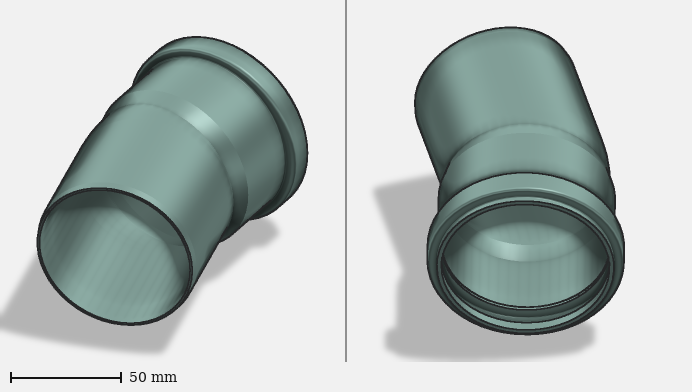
import cadquery as cq
import math

overall_length = 130.9

bend_angle = 15
pipe_diameter = 75.3
wall = 1.8
bend_radius = pipe_diameter / 2 + 0.1

spigot_length = 56.8
tip_length = 3.7
tip_diameter = 73.7

socket_diameter = 80.0
collar_length = 0.7
cone_end = 9.3
bead_start = 40.3
bead_end = 52.9

bead_diameter = 89.1
groove_diameter = 85.2
bead_middle = (bead_start + bead_end) / 2
bead_wall = (bead_diameter - groove_diameter) / 2
bead_fillet = 2.0
groove_fillet = 0.7
root_fillet = 0.8
lip_diameter = 80.2
mouth_diameter = 76.0
root_tolerance = 0.1

pipe_radius = pipe_diameter / 2
bore_radius = pipe_radius - wall
socket_radius = socket_diameter / 2
socket_bore_radius = socket_radius - wall
lip_radius = lip_diameter / 2
mouth_radius = mouth_diameter / 2

angle = math.radians(bend_angle)
bend_end_x = bend_radius * (1 - math.cos(angle))
bend_end_y = spigot_length + bend_radius * math.sin(angle)
socket_length = (overall_length - bend_end_y - lip_radius * math.sin(angle)) / math.cos(angle)


def revolved(profile):
    """Revolve (radius, axial position) points about the Y axis."""
    return cq.Workplane("XY").polyline(profile).close().revolve(360, (0, 0, 0), (0, 1, 0))


def ring(radius, start, end, fillet):
    """Solid disc about the Y axis with both rims rounded."""
    disc = revolved([(0, start), (radius, start), (radius, end), (0, end)])
    return disc.edges("%CIRCLE").fillet(fillet)


def bend(radius):
    """Solid elbow starting at the end of the spigot."""
    section = cq.Workplane("XZ", origin=(0, spigot_length, 0)).circle(radius)
    return section.revolve(bend_angle, (bend_radius, 0, 0), (bend_radius, -1, 0))


def on_bend_end(body):
    """Move a body from the Y axis to the axis at the end of the bend."""
    tilted = body.rotate((0, 0, 0), (0, 0, 1), -bend_angle)
    return tilted.translate((bend_end_x, bend_end_y, 0))


def spigot_outside():
    return revolved([
        (0, 0),
        (tip_diameter / 2, 0),
        (pipe_radius, tip_length),
        (pipe_radius, spigot_length),
        (0, spigot_length),
    ])


def spigot_bore():
    return revolved([(0, 0), (bore_radius, 0), (bore_radius, spigot_length), (0, spigot_length)])


def socket_outside():
    tube = revolved([
        (0, 0),
        (pipe_radius, 0),
        (pipe_radius, collar_length),
        (socket_radius, cone_end),
        (socket_radius, bead_middle),
        (lip_radius, bead_middle),
        (lip_radius, socket_length),
        (0, socket_length),
    ])
    body = tube.union(ring(bead_diameter / 2, bead_start, bead_end, bead_fillet))
    roots = [(socket_radius, bead_start), (lip_radius, bead_end)]
    for radius, position in roots:
        root_edge = cq.selectors.BoxSelector(
            (-radius - root_tolerance, position - root_tolerance, -radius - root_tolerance),
            (radius + root_tolerance, position + root_tolerance, radius + root_tolerance),
            boundingbox=True,
        )
        body = body.edges(root_edge).fillet(root_fillet)
    return body


def socket_bore():
    bore = revolved([
        (0, 0),
        (bore_radius, 0),
        (bore_radius, collar_length),
        (socket_bore_radius, cone_end),
        (socket_bore_radius, bead_start),
        (mouth_radius, bead_start),
        (mouth_radius, socket_length),
        (0, socket_length),
    ])
    groove = ring(groove_diameter / 2, bead_start + bead_wall, bead_end - bead_wall, groove_fillet)
    return bore.union(groove)


outside = spigot_outside().union(bend(pipe_radius)).union(on_bend_end(socket_outside()))
inside = spigot_bore().union(bend(bore_radius)).union(on_bend_end(socket_bore()))
result = outside.cut(inside)